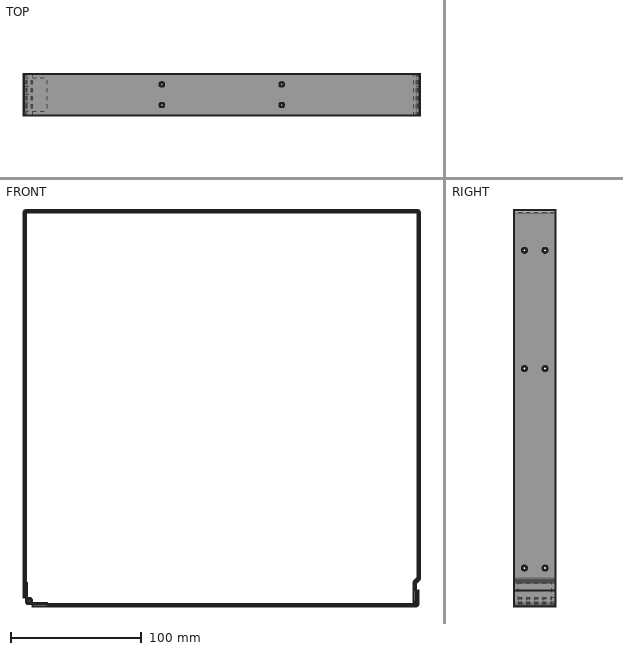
import cadquery as cq
import math

width = 303.0
depth = 32.0
height = 303.5
sheet = 1.88
bend_inner = 0.7
bend_outer = bend_inner + sheet

right = width / 2
left = -right

left_wall_end = 7.0
tongue_end = 3.5
joggle_top = 21.0
joggle_shift = 3.0

lip_height = 12.5
strip_start = left + 6.7
lip_face = right - joggle_shift + sheet

screw_dia = 3.3
screw_pitch_y = 15.8
top_screw_x = 45.8
side_screw_z = (29.5, 182.0, 272.5)

pin_dia = 2.88
leaf_sheet = 0.85
leaf_reach = 16.0
knuckle_count = 4
hinge_length = 25.5
knuckle_length = hinge_length / knuckle_count
knuckle_dia = pin_dia + 2 * leaf_sheet
knuckle_radius = knuckle_dia / 2
hinge_x = left + sheet + knuckle_radius
hinge_z = sheet + knuckle_radius


def extrude_in_y(sketch, length, y_min):
    """Extrude an XZ sketch towards +Y, starting at y_min."""
    return sketch.extrude(-length).translate((0, y_min, 0))


def xz_bar(x_min, x_max, z_min, z_max, length, y_min):
    """Rectangular bar running along Y."""
    return cq.Workplane("XY").box(
        x_max - x_min, length, z_max - z_min, centered=False
    ).translate((x_min, y_min, z_min))


def y_cylinder(diameter, length, y_min):
    """Cylinder on the hinge axis."""
    circle = cq.Workplane("XZ").center(hinge_x, hinge_z).circle(diameter / 2)
    return extrude_in_y(circle, length, y_min)


def round_bend(body, x, z, radius):
    """Round the Y edge that runs through (x, z)."""
    return body.edges(cq.selectors.NearestToPointSelector((x, 0, z))).fillet(radius)


def make_upper_frame():
    """Left wall, top and right wall, with the right wall joggled inward to a tongue."""
    mitre = sheet * math.tan(math.pi / 8)
    tongue_face = right - joggle_shift
    joggle_bottom = joggle_top - joggle_shift
    outline = [
        (left, left_wall_end),
        (left, height),
        (right, height),
        (right, joggle_top),
        (tongue_face, joggle_bottom),
        (tongue_face, tongue_end),
        (tongue_face - sheet, tongue_end),
        (tongue_face - sheet, joggle_bottom + mitre),
        (right - sheet, joggle_top + mitre),
        (right - sheet, height - sheet),
        (left + sheet, height - sheet),
        (left + sheet, left_wall_end),
    ]
    frame = extrude_in_y(cq.Workplane("XZ").polyline(outline).close(), depth, -depth / 2)
    for side in (-1, 1):
        frame = round_bend(frame, side * right, height, bend_outer)
        frame = round_bend(frame, side * (right - sheet), height - sheet, bend_inner)
    frame = round_bend(frame, right, joggle_top, bend_outer)
    frame = round_bend(frame, right - sheet, joggle_top + mitre, bend_inner)
    frame = round_bend(frame, tongue_face, joggle_bottom, bend_inner)
    frame = round_bend(frame, tongue_face - sheet, joggle_bottom + mitre, bend_outer)
    return frame.cut(make_top_screw_holes()).cut(make_side_screw_holes())


def make_top_screw_holes():
    """Two pairs of holes through the top."""
    return (
        cq.Workplane("XY", origin=(0, 0, height - 2 * sheet))
        .rarray(2 * top_screw_x, screw_pitch_y, 2, 2)
        .circle(screw_dia / 2)
        .extrude(4 * sheet)
    )


def make_side_screw_holes():
    """Pairs of holes through both side walls."""
    places = [(y * screw_pitch_y / 2, z) for z in side_screw_z for y in (-1, 1)]
    return (
        cq.Workplane("YZ")
        .pushPoints(places)
        .circle(screw_dia / 2)
        .extrude(width, both=True)
    )


def make_lower_strip():
    """Bottom strip with a lip bent up outside the frame's tongue."""
    outline = [
        (strip_start, 0),
        (lip_face, 0),
        (lip_face, lip_height),
        (lip_face - sheet, lip_height),
        (lip_face - sheet, sheet),
        (strip_start, sheet),
    ]
    strip = extrude_in_y(cq.Workplane("XZ").polyline(outline).close(), depth, -depth / 2)
    strip = round_bend(strip, lip_face, 0, bend_outer)
    return round_bend(strip, lip_face - sheet, sheet, bend_inner)


def make_hinge_leaf(plate, first_knuckle):
    """Plate with every second knuckle; first_knuckle is its lowest place counted from the -Y end."""
    leaf = plate
    for index in range(knuckle_count):
        y_min = -hinge_length / 2 + index * knuckle_length
        if index % 2 == first_knuckle:
            leaf = leaf.union(y_cylinder(knuckle_dia, knuckle_length, y_min))
        else:
            notch = xz_bar(
                hinge_x - knuckle_radius,
                hinge_x + knuckle_radius,
                hinge_z - knuckle_radius,
                hinge_z + knuckle_radius,
                knuckle_length,
                y_min,
            )
            leaf = leaf.cut(notch)
    return leaf.cut(y_cylinder(pin_dia, hinge_length, -hinge_length / 2))


def make_wall_leaf():
    """Upright leaf against the inside of the left wall."""
    x_min = hinge_x - knuckle_radius
    z_max = hinge_z - knuckle_radius + leaf_reach
    plate = xz_bar(x_min, x_min + leaf_sheet, hinge_z, z_max, hinge_length, -hinge_length / 2)
    return make_hinge_leaf(plate, first_knuckle=1)


def make_strip_leaf():
    """Flat leaf lying on the lower strip."""
    z_min = hinge_z - knuckle_radius
    x_max = hinge_x - knuckle_radius + leaf_reach
    plate = xz_bar(hinge_x, x_max, z_min, z_min + leaf_sheet, hinge_length, -hinge_length / 2)
    return make_hinge_leaf(plate, first_knuckle=0)


upper_frame = make_upper_frame()
lower_strip = make_lower_strip()
wall_leaf = make_wall_leaf()
strip_leaf = make_strip_leaf()
hinge_pin = y_cylinder(pin_dia, hinge_length, -hinge_length / 2)

result = cq.Compound.makeCompound(
    [
        upper_frame.val(),
        lower_strip.val(),
        wall_leaf.val(),
        strip_leaf.val(),
        hinge_pin.val(),
    ]
)